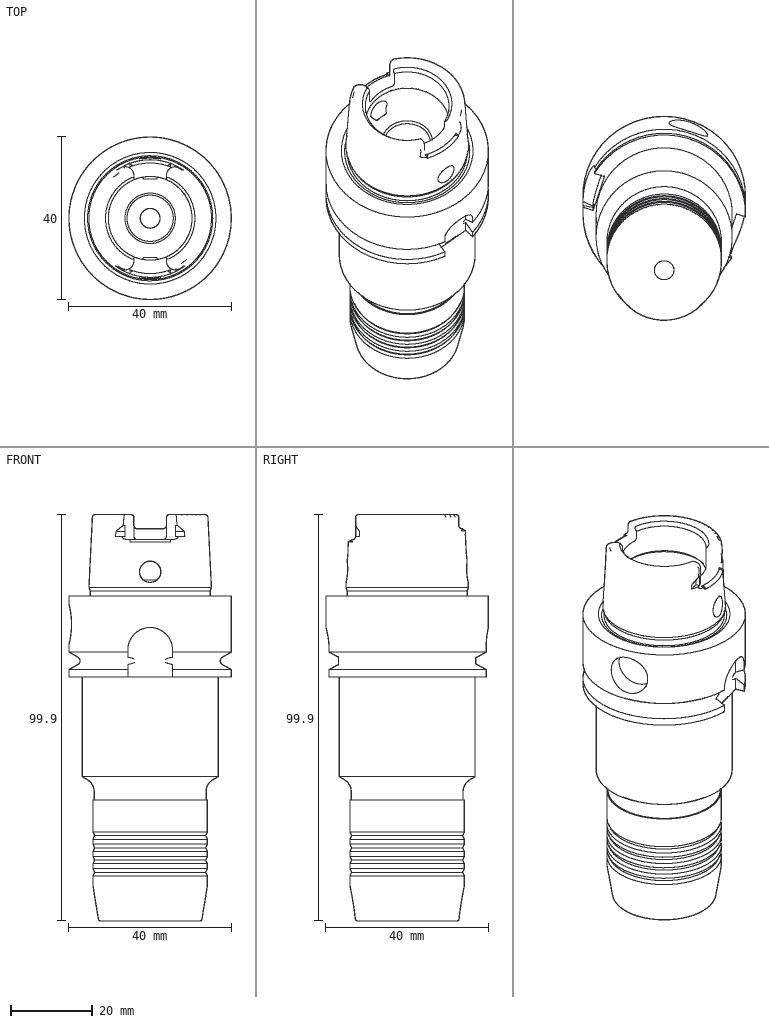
import cadquery as cq
import math

TOP_Z = 20.0
BOTTOM_Z = -79.9

FLANGE_RADIUS = 20.0
FLANGE_BOTTOM_Z = -20.0
TAPER_BASE_RADIUS = 15.1
TAPER_BASE_Z = 2.1
TAPER_TOP_RADIUS = 14.2
TAPER_EDGE = 0.7
NECK_RADIUS = 14.8
NECK_TOP_Z = 1.2
RELIEF_RADIUS = 16.2
RELIEF_DEPTH = 0.4
BODY_RADIUS = 16.73
BODY_BOTTOM_Z = -44.5
SHOULDER_ANGLE = 30.0
SHOULDER_FILLET = 3.2
WAIST_RADIUS = 13.8
SLEEVE_RADIUS = 14.1
SLEEVE_TOP_Z = -50.1
TIP_TOP_Z = -71.2
TIP_RADIUS = 12.7
TIP_EDGE = 0.6

GRIP_Z = -16.0
GRIP_HALF_WIDTH = 0.6
GRIP_RADIUS = 17.3
GRIP_ANGLE = 30.0
GRIP_FILLET = 0.7

RING_COUNT = 4
RING_PITCH = 3.0
RING_TOP_Z = -58.0
RING_WIDTH = 1.8
RING_DEPTH = 0.4

CAVITY_RADIUS = 10.3
CAVITY_FLOOR_Z = 3.9
CAVITY_FILLET = 1.3
UNDERCUT_RADIUS = 11.0
UNDERCUT_TOP_Z = 12.0
MOUTH_CHAMFER_WIDTH = 0.7
MOUTH_CHAMFER_HEIGHT = 1.0
TUBE_RADIUS = 5.7
TUBE_CHAMFER = 0.5
TUBE_BOTTOM_Z = -8.0
COOLANT_RADIUS = 2.4

SLOT_HALF_WIDTH = 4.0
SLOT_FILLET = 2.2
SLOT_FACE_Y = 12.7
CORNER_HALF_WIDTH = 10.0
BEVEL_HALF_WIDTH = 5.0
SLOT_FRONT_FLOOR_Z = 13.8
SLOT_BACK_FLOOR_Z = 16.5
FLOOR_FILLET = 0.9
FLOOR_EDGE_RADIUS = 13.6
FLOOR_EDGE_DROP = 1.0
CORNER_RISE = 3.5
CORNER_STEEP_RISE = 2.0
CORNER_FOOT_RISE = 0.8
CORNER_DEPTH = 1.0

CROSS_RADIUS = 2.6
CROSS_Z = 5.9

KEY_FLOOR_Y = 16.9
KEY_TOP_Z = -7.8
FRONT_KEY_HALF_WIDTH = 5.5
BACK_KEY_HALF_WIDTH = 4.5
SIDE_HOLE_RADIUS = 5.0
SIDE_HOLE_Z = -7.0
SIDE_HOLE_FLOOR_X = 15.0

PICK_MARGIN = 0.1


def revolve(profile):
    return profile.close().revolve(360, (0, 0, 0), (0, 1, 0))


def make_body():
    shoulder_tan = math.tan(math.radians(SHOULDER_ANGLE))
    shoulder_bottom_z = BODY_BOTTOM_Z - (BODY_RADIUS - WAIST_RADIUS) * shoulder_tan
    profile = (
        cq.Workplane("XZ")
        .moveTo(0, TOP_Z)
        .lineTo(TAPER_TOP_RADIUS, TOP_Z)
        .lineTo(TAPER_BASE_RADIUS, TAPER_BASE_Z)
        .lineTo(NECK_RADIUS, NECK_TOP_Z)
        .lineTo(NECK_RADIUS, -RELIEF_DEPTH)
        .lineTo(RELIEF_RADIUS - 2 * RELIEF_DEPTH, -RELIEF_DEPTH)
        .lineTo(RELIEF_RADIUS, 0)
        .lineTo(FLANGE_RADIUS, 0)
        .lineTo(FLANGE_RADIUS, FLANGE_BOTTOM_Z)
        .lineTo(BODY_RADIUS, FLANGE_BOTTOM_Z)
        .lineTo(BODY_RADIUS, BODY_BOTTOM_Z)
        .lineTo(WAIST_RADIUS, shoulder_bottom_z)
        .lineTo(WAIST_RADIUS, SLEEVE_TOP_Z)
        .lineTo(SLEEVE_RADIUS, SLEEVE_TOP_Z)
        .lineTo(SLEEVE_RADIUS, TIP_TOP_Z)
        .lineTo(TIP_RADIUS, BOTTOM_Z)
        .lineTo(0, BOTTOM_Z)
    )
    at_shoulder = cq.selectors.BoxSelector(
        (-BODY_RADIUS, -BODY_RADIUS, shoulder_bottom_z - PICK_MARGIN),
        (BODY_RADIUS, BODY_RADIUS, shoulder_bottom_z + PICK_MARGIN),
        boundingbox=True,
    )
    body = revolve(profile)
    body = body.edges(at_shoulder).edges("%CIRCLE").fillet(SHOULDER_FILLET)
    return body.faces("<Z").edges().fillet(TIP_EDGE)


def make_grip_groove():
    rise = (FLANGE_RADIUS - GRIP_RADIUS) * math.tan(math.radians(GRIP_ANGLE))
    ring = revolve(
        cq.Workplane("XZ")
        .moveTo(FLANGE_RADIUS, GRIP_Z + GRIP_HALF_WIDTH + rise)
        .lineTo(GRIP_RADIUS, GRIP_Z + GRIP_HALF_WIDTH)
        .lineTo(GRIP_RADIUS, GRIP_Z - GRIP_HALF_WIDTH)
        .lineTo(FLANGE_RADIUS, GRIP_Z - GRIP_HALF_WIDTH - rise)
    )
    floor_edges = cq.selectors.RadiusNthSelector(0)
    return ring.edges("%CIRCLE").edges(floor_edges).fillet(GRIP_FILLET)


def make_ring_groove(top_z):
    return revolve(
        cq.Workplane("XZ")
        .moveTo(SLEEVE_RADIUS, top_z)
        .lineTo(SLEEVE_RADIUS - RING_DEPTH, top_z - RING_WIDTH / 2)
        .lineTo(SLEEVE_RADIUS, top_z - RING_WIDTH)
    )


def make_cavity():
    """Chamfered and undercut cavity, with the tube bore and coolant hole below it."""
    return revolve(
        cq.Workplane("XZ")
        .moveTo(0, TOP_Z)
        .lineTo(CAVITY_RADIUS + MOUTH_CHAMFER_WIDTH, TOP_Z)
        .lineTo(CAVITY_RADIUS, TOP_Z - MOUTH_CHAMFER_HEIGHT)
        .lineTo(CAVITY_RADIUS, UNDERCUT_TOP_Z)
        .lineTo(UNDERCUT_RADIUS, UNDERCUT_TOP_Z - (UNDERCUT_RADIUS - CAVITY_RADIUS))
        .lineTo(UNDERCUT_RADIUS, CAVITY_FLOOR_Z + CAVITY_FILLET)
        .radiusArc((UNDERCUT_RADIUS - CAVITY_FILLET, CAVITY_FLOOR_Z), CAVITY_FILLET)
        .lineTo(TUBE_RADIUS + TUBE_CHAMFER, CAVITY_FLOOR_Z)
        .lineTo(TUBE_RADIUS, CAVITY_FLOOR_Z - TUBE_CHAMFER)
        .lineTo(TUBE_RADIUS, TUBE_BOTTOM_Z)
        .lineTo(COOLANT_RADIUS, TUBE_BOTTOM_Z)
        .lineTo(COOLANT_RADIUS, BOTTOM_Z)
        .lineTo(0, BOTTOM_Z)
    )


def make_rim_slot(floor_z):
    """Slot on the -Y side of the rim: flaring throat, filleted floor and beveled sill."""
    throat_y = SLOT_FACE_Y - SLOT_FILLET
    mouth_half_width = SLOT_HALF_WIDTH + SLOT_FILLET
    height = TOP_Z - floor_z
    outline = (
        cq.Workplane("XY", origin=(0, 0, floor_z))
        .moveTo(-SLOT_HALF_WIDTH, 0)
        .lineTo(SLOT_HALF_WIDTH, 0)
        .lineTo(SLOT_HALF_WIDTH, -throat_y)
        .radiusArc((mouth_half_width, -SLOT_FACE_Y), -SLOT_FILLET)
        .lineTo(CORNER_HALF_WIDTH, -SLOT_FACE_Y)
        .lineTo(CORNER_HALF_WIDTH, -FLANGE_RADIUS)
        .lineTo(-CORNER_HALF_WIDTH, -FLANGE_RADIUS)
        .lineTo(-CORNER_HALF_WIDTH, -SLOT_FACE_Y)
        .lineTo(-mouth_half_width, -SLOT_FACE_Y)
        .radiusArc((-SLOT_HALF_WIDTH, -throat_y), -SLOT_FILLET)
        .close()
    )
    slot = outline.extrude(height)
    wall_feet = cq.selectors.BoxSelector(
        (-CORNER_HALF_WIDTH + PICK_MARGIN, -SLOT_FACE_Y - PICK_MARGIN, floor_z - PICK_MARGIN),
        (CORNER_HALF_WIDTH - PICK_MARGIN, -PICK_MARGIN, floor_z + PICK_MARGIN),
    )
    slot = slot.edges(wall_feet).fillet(FLOOR_FILLET)

    sill_slope = FLOOR_EDGE_DROP / (TAPER_BASE_RADIUS - FLOOR_EDGE_RADIUS)
    bevel = revolve(
        cq.Workplane("XZ")
        .moveTo(FLOOR_EDGE_RADIUS, floor_z)
        .lineTo(FLANGE_RADIUS, floor_z - sill_slope * (FLANGE_RADIUS - FLOOR_EDGE_RADIUS))
        .lineTo(FLANGE_RADIUS, floor_z)
    )
    sill = cq.Workplane("XY").box(
        2 * BEVEL_HALF_WIDTH, FLANGE_RADIUS, 2 * TOP_Z, centered=(True, False, True)
    )
    return slot.union(bevel.intersect(sill.translate((0, -FLANGE_RADIUS, 0))))


def make_corner_relief(floor_z):
    """Pair of small recesses in the taper beside the lower corners of the -Y slot."""
    mouth_half_width = SLOT_HALF_WIDTH + SLOT_FILLET
    corner = (
        cq.Workplane("YZ", origin=(mouth_half_width, 0, 0))
        .moveTo(-SLOT_FACE_Y, floor_z + CORNER_RISE)
        .lineTo(-SLOT_FACE_Y + CORNER_DEPTH, floor_z + CORNER_STEEP_RISE)
        .lineTo(-SLOT_FACE_Y + CORNER_DEPTH, floor_z + CORNER_FOOT_RISE)
        .lineTo(-FLANGE_RADIUS, floor_z + CORNER_FOOT_RISE)
        .lineTo(-FLANGE_RADIUS, floor_z + CORNER_RISE)
        .close()
        .extrude(CORNER_HALF_WIDTH - mouth_half_width)
    )
    return corner.union(corner.mirror("YZ"))


def make_cross_hole():
    """Radial hole through the -Y wall of the taper, ending where the cavity floor turns flat."""
    inner_y = UNDERCUT_RADIUS - CAVITY_FILLET
    hole = cq.Workplane("XZ", origin=(0, -inner_y, CROSS_Z)).circle(CROSS_RADIUS)
    return hole.extrude(FLANGE_RADIUS - inner_y)


def make_keyway(half_width):
    """Round-topped keyway on the -Y side, open at the bottom of the flange."""
    center_z = KEY_TOP_Z - half_width
    return (
        cq.Workplane("XZ", origin=(0, -KEY_FLOOR_Y, 0))
        .moveTo(-half_width, FLANGE_BOTTOM_Z)
        .lineTo(-half_width, center_z)
        .threePointArc((0, KEY_TOP_Z), (half_width, center_z))
        .lineTo(half_width, FLANGE_BOTTOM_Z)
        .close()
        .extrude(FLANGE_RADIUS - KEY_FLOOR_Y)
    )


def make_side_hole():
    hole = cq.Workplane("YZ", origin=(-FLANGE_RADIUS, 0, SIDE_HOLE_Z)).circle(SIDE_HOLE_RADIUS)
    return hole.extrude(FLANGE_RADIUS - SIDE_HOLE_FLOOR_X)


def turn_to_back(tool):
    return tool.rotate((0, 0, 0), (0, 0, 1), 180)


result = make_body().cut(make_rim_slot(SLOT_FRONT_FLOOR_Z))
result = result.cut(turn_to_back(make_rim_slot(SLOT_BACK_FLOOR_Z)))
result = result.faces(">Z").edges().fillet(TAPER_EDGE)
result = result.cut(make_corner_relief(SLOT_FRONT_FLOOR_Z))
result = result.cut(make_cavity())
result = result.cut(make_grip_groove())
for ring in range(RING_COUNT):
    result = result.cut(make_ring_groove(RING_TOP_Z - ring * RING_PITCH))
result = result.cut(make_cross_hole())
result = result.cut(turn_to_back(make_cross_hole()))
result = result.cut(make_keyway(FRONT_KEY_HALF_WIDTH))
result = result.cut(turn_to_back(make_keyway(BACK_KEY_HALF_WIDTH)))
result = result.cut(make_side_hole())